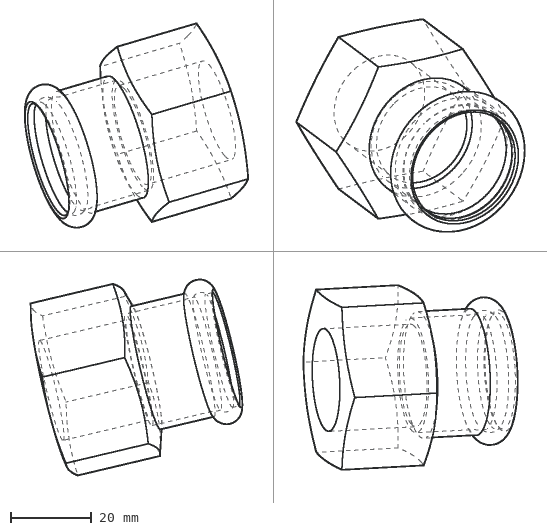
import cadquery as cq
import math

total_length = 45.0

hex_across_corners = 47.35
hex_corner_radius = hex_across_corners / 2
hex_start = 20.85
front_bevel_radius = 16.05
front_bevel_height = 2.4
rear_bevel_radius = 20.35
rear_bevel_height = 0.75

tube_radius = 31.4 / 2
bead_radius = 36.65 / 2
bead_arc_radius = 3.7
bead_arc_center = bead_radius - bead_arc_radius
bead_middle = bead_arc_radius

mouth_radius = 30.1 / 2
lip_radius = 28.8 / 2
lip_depth = 0.45
groove_radius = 30.3 / 2
groove_width = 3.05
groove_start = bead_middle - groove_width / 2
groove_end = bead_middle + groove_width / 2
socket_radius = 28.4 / 2
taper_start = 6.8
taper_end = 7.5
socket_end = 22.7
throat_radius = 25.4 / 2


def bead_half_width(radius):
    """Axial distance from the bead middle to its surface at a given radius."""
    return math.sqrt(bead_arc_radius**2 - (radius - bead_arc_center) ** 2)


mouth_position = bead_middle - bead_half_width(mouth_radius)


def revolve_about_y(profile):
    return profile.close().revolve(360, (0, 0, 0), (0, 1, 0))


def make_hex_body():
    """Hexagonal prism whose corners are trimmed by a cone at each end."""
    prism = (
        cq.Workplane("XZ", origin=(0, hex_start, 0))
        .polygon(6, hex_across_corners)
        .extrude(hex_start - total_length)
    )
    bevels = revolve_about_y(
        cq.Workplane("XY")
        .moveTo(0, hex_start)
        .lineTo(front_bevel_radius, hex_start)
        .lineTo(hex_corner_radius, hex_start + front_bevel_height)
        .lineTo(hex_corner_radius, total_length - rear_bevel_height)
        .lineTo(rear_bevel_radius, total_length)
        .lineTo(0, total_length)
    )
    return prism.intersect(bevels)


def make_socket_body():
    """Tube ending in a rounded bead at the mouth."""
    return revolve_about_y(
        cq.Workplane("XY")
        .lineTo(mouth_radius, mouth_position)
        .threePointArc(
            (bead_radius, bead_middle),
            (tube_radius, bead_middle + bead_half_width(tube_radius)),
        )
        .lineTo(tube_radius, socket_end)
        .lineTo(0, socket_end)
    )


def make_bore():
    """Stepped through bore with a bevelled lip and a seal groove inside the bead."""
    return revolve_about_y(
        cq.Workplane("XY")
        .lineTo(mouth_radius, 0)
        .lineTo(mouth_radius, mouth_position)
        .lineTo(lip_radius, lip_depth)
        .lineTo(lip_radius, groove_start)
        .threePointArc((groove_radius, bead_middle), (lip_radius, groove_end))
        .lineTo(lip_radius, taper_start)
        .lineTo(socket_radius, taper_end)
        .lineTo(socket_radius, socket_end)
        .lineTo(throat_radius, socket_end)
        .lineTo(throat_radius, total_length)
        .lineTo(0, total_length)
    )


result = make_hex_body().union(make_socket_body()).cut(make_bore())